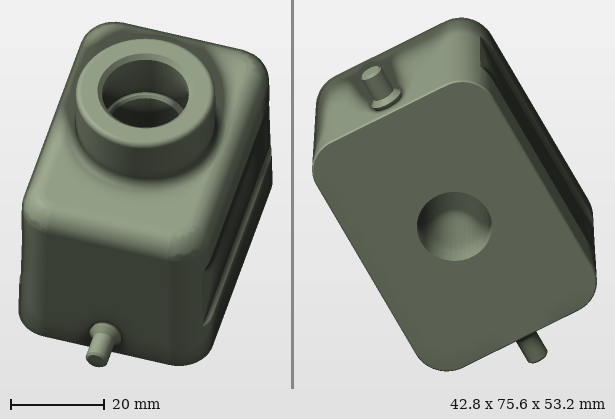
import cadquery as cq
import math

base_x = 42.85
base_y = 59.7
body_height = 39.9
corner_radius = 7.5
top_round = 4.9
draft_angle = 1.0
base_chamfer = 0.3

recess_depth = 1.0
recess_bottom = 10.95
recess_top = 28.6
recess_bottom_slope = 0.8
recess_top_slope = 1.1

collar_diameter = 29.8
collar_top = 53.2
collar_round = 1.2
collar_base_fillet = 2.1

bore_diameter = 18.5
bore_depth = 12.0
bore_chamfer = 1.0
through_diameter = 16.0
through_chamfer = 0.5

pin_tip_y = 37.8
pin_height = 6.3
pin_diameter = 4.8
pin_chamfer = 0.45
flange_diameter = 7.0
flange_root_diameter = 6.6
flange_cone_end = 31.8
flange_peak = 30.7
pin_embedded_length = 3.0

draft_slope = math.tan(math.radians(draft_angle))


def make_body():
    """Rounded, drafted block with a rounded top edge and chamfered base."""
    body = (
        cq.Workplane("XY")
        .rect(base_x, base_y)
        .extrude(body_height, taper=draft_angle)
        .edges("not #Z")
        .fillet(corner_radius)
    )
    body = body.faces("<Z").edges().chamfer(base_chamfer)
    return body.faces(">Z").edges().fillet(top_round)


def make_recess(side):
    """Cutter for the recess on one long side; side is +1 or -1 along X."""
    def wall_x(z):
        return base_x / 2 - z * draft_slope

    outside_x = base_x / 2 + recess_depth
    outer_bottom = recess_bottom - recess_bottom_slope
    outer_top = recess_top + recess_top_slope
    outline = [
        (wall_x(recess_bottom) - recess_depth, recess_bottom),
        (wall_x(outer_bottom), outer_bottom),
        (outside_x, outer_bottom),
        (outside_x, outer_top),
        (wall_x(outer_top), outer_top),
        (wall_x(recess_top) - recess_depth, recess_top),
    ]
    return (
        cq.Workplane("XZ")
        .polyline([(side * x, z) for x, z in outline])
        .close()
        .extrude(base_y / 2, both=True)
    )


def add_collar(body):
    """Collar joined to the body, with a rounded rim and a concave blend at its foot."""
    start_z = body_height / 2
    collar = (
        cq.Workplane("XY")
        .workplane(offset=start_z)
        .circle(collar_diameter / 2)
        .extrude(collar_top - start_z)
        .faces(">Z")
        .edges()
        .fillet(collar_round)
    )
    foot = body.union(collar).faces(">Z[-2]").edges("%CIRCLE")
    return foot.fillet(collar_base_fillet)


def make_bore():
    """Stepped bore, revolved about the Z axis."""
    r_bore = bore_diameter / 2
    r_through = through_diameter / 2
    step_z = collar_top - bore_depth
    outline = [
        (0, 0),
        (r_through, 0),
        (r_through, step_z - through_chamfer),
        (r_through + through_chamfer, step_z),
        (r_bore, step_z),
        (r_bore, collar_top - bore_chamfer),
        (r_bore + bore_chamfer, collar_top),
        (0, collar_top),
    ]
    return cq.Workplane("XZ").polyline(outline).close().revolve(360, (0, 0, 0), (0, 1, 0))


def make_pin(side):
    """Pin with a double-tapered flange, rooted inside the wall; side is +1 or -1 along Y."""
    r_pin = pin_diameter / 2
    r_flange = flange_diameter / 2
    r_root = flange_root_diameter / 2
    wall_y = base_y / 2 - pin_height * draft_slope
    embedded_end = wall_y - pin_embedded_length
    outline = [
        (0, embedded_end),
        (r_root, embedded_end),
        (r_root, wall_y),
        (r_flange, flange_peak),
        (r_pin, flange_cone_end),
        (r_pin, pin_tip_y - pin_chamfer),
        (r_pin - pin_chamfer, pin_tip_y),
        (0, pin_tip_y),
    ]
    return (
        cq.Workplane("XY")
        .polyline([(x, side * y) for x, y in outline])
        .close()
        .revolve(360, (0, 0, 0), (0, 1, 0))
        .translate((0, 0, pin_height))
    )


result = make_body()
for side in (-1, 1):
    result = result.cut(make_recess(side))
result = add_collar(result)
for side in (-1, 1):
    result = result.union(make_pin(side))
result = result.cut(make_bore())